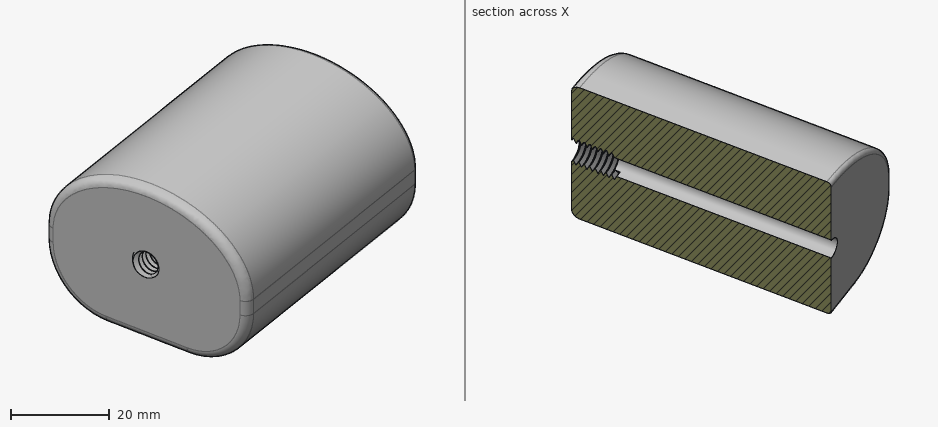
import cadquery as cq
import math

LENGTH = 60.0
CORNER_RADIUS = 15.0
FLAT_WIDTH = 20.0
SIDE_FLAT_HEIGHT = 3.5
CROWN_HEIGHT = 18.5
FRONT_FILLET = 2.0
BACK_FILLET = 1.0

HALF_WIDTH = FLAT_WIDTH / 2 + CORNER_RADIUS
CROWN_BASE_Z = CORNER_RADIUS + SIDE_FLAT_HEIGHT
FRONT_Y = -LENGTH / 2

BORE_RADIUS = 2.45
LEAD_IN_RADIUS = 3.05
LEAD_IN_DEPTH = 0.35
THREAD_ROOT_RADIUS = 3.6
THREAD_PITCH = 1.25
THREAD_GROOVE_WIDTH = 1.2
THREAD_OVERLAP = 0.05
THREAD_DEPTH = 10.0
THREAD_START_ANGLE = 225.0


def make_body():
    corner_mid = CORNER_RADIUS * (1 - math.sin(math.radians(45)))
    profile = (
        cq.Workplane("XZ", origin=(0, LENGTH / 2, 0))
        .moveTo(-FLAT_WIDTH / 2, 0)
        .lineTo(FLAT_WIDTH / 2, 0)
        .threePointArc((HALF_WIDTH - corner_mid, corner_mid), (HALF_WIDTH, CORNER_RADIUS))
        .lineTo(HALF_WIDTH, CROWN_BASE_Z)
        .ellipseArc(HALF_WIDTH, CROWN_HEIGHT, 0, 180, startAtCurrent=True)
        .lineTo(-HALF_WIDTH, CORNER_RADIUS)
        .threePointArc((corner_mid - HALF_WIDTH, corner_mid), (-FLAT_WIDTH / 2, 0))
        .close()
    )
    body = profile.extrude(LENGTH)
    body = body.faces("<Y").edges().fillet(FRONT_FILLET)
    return body.faces(">Y").edges().fillet(BACK_FILLET)


def make_bore():
    """Through bore with a conical lead-in at the front, revolved about the Y direction."""
    return (
        cq.Workplane("XY", origin=(0, 0, CROWN_BASE_Z))
        .moveTo(0, FRONT_Y)
        .lineTo(LEAD_IN_RADIUS, FRONT_Y)
        .lineTo(BORE_RADIUS, FRONT_Y + LEAD_IN_DEPTH)
        .lineTo(BORE_RADIUS, LENGTH / 2)
        .lineTo(0, LENGTH / 2)
        .close()
        .revolve(360, (0, 0, 0), (0, 1, 0))
    )


def make_thread_groove():
    """Helical V groove, built along +Z and then turned to run along +Y, entering from ahead of the face."""
    inner_radius = BORE_RADIUS - THREAD_OVERLAP
    half_opening = THREAD_GROOVE_WIDTH / 2
    helix = cq.Wire.makeHelix(THREAD_PITCH, THREAD_DEPTH + THREAD_PITCH, BORE_RADIUS)
    groove = (
        cq.Workplane("XZ")
        .polyline([(inner_radius, -half_opening), (THREAD_ROOT_RADIUS, 0), (inner_radius, half_opening)])
        .close()
        .sweep(cq.Workplane(helix), isFrenet=True)
    )
    return (
        groove.rotate((0, 0, 0), (0, 0, 1), -THREAD_START_ANGLE)
        .rotate((0, 0, 0), (1, 0, 0), -90)
        .translate((0, FRONT_Y - THREAD_PITCH, CROWN_BASE_Z))
    )


result = make_body().cut(make_bore()).cut(make_thread_groove())